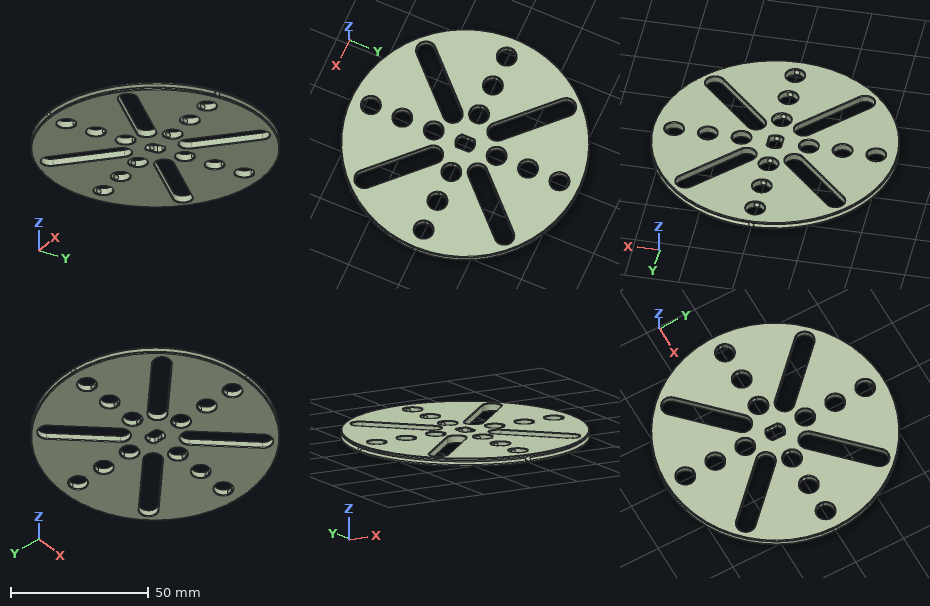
import cadquery as cq
disc_diameter = 90.6
thickness = 3.1
edge_chamfer = 0.3

groove_width = 1.5
groove_depth = 1.0

hole_diameter = 7.0
hole_pitch = 12.5
holes_per_arm = 3

shaft_hole_flats = 5.1

slot_inner_radius = hole_pitch
slot_outer_radius = 39.4
first_slot_angle = 45

cross_hole_diameter = 2.0

arm_angles = [0, 90, 180, 270]


def make_disc():
    """Flat disc centred on the origin, with a V groove turned into its rim."""
    radius = disc_diameter / 2
    disc = cq.Workplane("XY", origin=(0, 0, -thickness / 2)).circle(radius).extrude(thickness)
    groove = (
        cq.Workplane("XZ")
        .moveTo(radius, -groove_width / 2)
        .lineTo(radius - groove_depth, 0)
        .lineTo(radius, groove_width / 2)
        .close()
        .revolve(360, (0, 0, 0), (0, 1, 0))
    )
    return disc.cut(groove)


def make_round_cutter():
    """Cutter for one round hole on the Z axis."""
    return cq.Workplane("XY").circle(hole_diameter / 2).extrude(thickness).translate((0, 0, -thickness / 2))


def cut_round_holes(body):
    """Row of round holes along each half of the X and Y axes."""
    for angle in arm_angles:
        for step in range(1, holes_per_arm + 1):
            hole = make_round_cutter().translate((step * hole_pitch, 0, 0))
            body = body.cut(hole.rotate((0, 0, 0), (0, 0, 1), angle))
    return body


def cut_shaft_hole(body):
    """Round hole in the middle, limited in X by two flats."""
    flats = cq.Workplane("XY").box(shaft_hole_flats, hole_diameter, thickness)
    return body.cut(make_round_cutter().intersect(flats))


def cut_slots(body):
    """Radial slot midway between each pair of hole rows."""
    slot_length = slot_outer_radius - slot_inner_radius + hole_diameter
    slot = (
        cq.Workplane("XY")
        .center((slot_inner_radius + slot_outer_radius) / 2, 0)
        .slot2D(slot_length, hole_diameter)
        .extrude(thickness)
        .translate((0, 0, -thickness / 2))
    )
    for angle in arm_angles:
        body = body.cut(slot.rotate((0, 0, 0), (0, 0, 1), first_slot_angle + angle))
    return body


def cut_cross_holes(body):
    """Thin holes along X and Y, at mid thickness, through all the round holes."""
    for direction in ((1, 0, 0), (0, 1, 0)):
        drill_plane = cq.Plane(origin=(0, 0, 0), xDir=(0, 0, 1), normal=direction)
        drill = cq.Workplane(drill_plane).circle(cross_hole_diameter / 2).extrude(disc_diameter, both=True)
        body = body.cut(drill)
    return body


plate = cut_slots(cut_shaft_hole(cut_round_holes(make_disc())))
plate = plate.faces("<Z or >Z").edges().chamfer(edge_chamfer)
result = cut_cross_holes(plate)